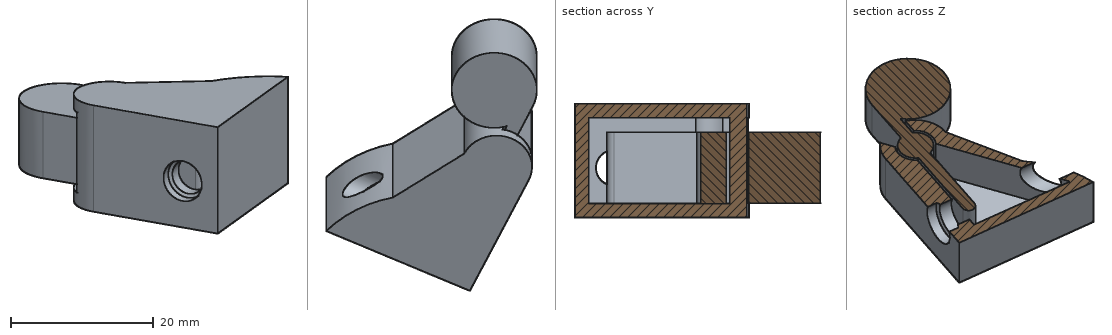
import cadquery as cq
import math

LENGTH = 35.47
DEPTH = 22.35
HEIGHT = 16.0

PIVOT_X = 15.95
NOSE_RADIUS = 5.0
PIVOT_Y = NOSE_RADIUS
SLOPE_ANGLE = math.radians(30)
SLOPE_END_X = 26.53
BACK_TOP_X = 35.35
CREST_MID = (30.4, 19.85)

WALL = 2.0
LEVER_HEIGHT = 10.0
BAR_THICKNESS = 2.0
BAR_END_RADIUS = BAR_THICKNESS / 2
BARREL_RADIUS = 2.55
KNOB_RADIUS = 6.0
BAR_END_X = 29.97
KNOB_Y = PIVOT_Y - BAR_THICKNESS / 2 + KNOB_RADIUS

CLEARANCE = 0.3
SOCKET_RADIUS = BARREL_RADIUS + CLEARANCE
CHANNEL_HALF = BAR_THICKNESS / 2 + CLEARANCE
SWING_ANGLE = math.radians(36.4)
CAVITY_END_X = 33.5
MOUTH_X = PIVOT_X - NOSE_RADIUS - 0.35

HOLE_X = BAR_END_X
HOLE_Z = 7.0
HOLE_DIAMETER = 5.0
COUNTERBORE_DIAMETER = 6.0
COUNTERBORE_DEPTH = 1.5
SHOULDER_DEPTH = 0.3


def make_housing_block():
    """Round-nosed block with a sloping side that rises to a convex crest."""
    nose_top = 2 * NOSE_RADIUS
    slope_end_y = nose_top + (SLOPE_END_X - PIVOT_X) * math.tan(SLOPE_ANGLE)
    return (
        cq.Workplane("XY")
        .moveTo(PIVOT_X, 0)
        .lineTo(LENGTH, 0)
        .lineTo(BACK_TOP_X, DEPTH)
        .threePointArc(CREST_MID, (SLOPE_END_X, slope_end_y))
        .lineTo(PIVOT_X, nose_top)
        .threePointArc((PIVOT_X - NOSE_RADIUS, PIVOT_Y), (PIVOT_X, 0))
        .close()
        .extrude(HEIGHT)
    )


def swing_sector(end_x, side):
    """Space swept by the bar on one side of the pivot, out to end_x.

    One wall is parallel to the bar at rest, the other to the bar swung over.
    side is +1 for the chamber (+X of the pivot) and -1 for the mouth.
    """
    reach = end_x - PIVOT_X
    rest_wall = -side * CHANNEL_HALF
    swung_offset = side * CHANNEL_HALF / math.cos(SWING_ANGLE)
    return (
        cq.Workplane("XY", origin=(PIVOT_X, PIVOT_Y, WALL))
        .moveTo(0, rest_wall)
        .lineTo(reach, rest_wall)
        .lineTo(reach, swung_offset + reach * math.tan(SWING_ANGLE))
        .lineTo(0, swung_offset)
        .close()
        .extrude(HEIGHT - 2 * WALL)
    )


def make_cavity():
    """Round socket with a mouth toward the knob and a chamber for the bar."""
    socket = (
        cq.Workplane("XY", origin=(PIVOT_X, PIVOT_Y, WALL))
        .circle(SOCKET_RADIUS)
        .extrude(HEIGHT - 2 * WALL)
    )
    mouth = swing_sector(MOUTH_X, -1)
    chamber = swing_sector(CAVITY_END_X, 1)
    return socket.union(mouth).union(chamber)


def make_cross_hole():
    """Hole along Y with a counterbore on the flat face, ending in a conical shoulder."""
    start = cq.Vector(HOLE_X, 0, HOLE_Z)
    along_y = cq.Vector(0, 1, 0)
    bore = cq.Solid.makeCylinder(HOLE_DIAMETER / 2, DEPTH, start, along_y)
    counterbore = cq.Solid.makeCylinder(COUNTERBORE_DIAMETER / 2, COUNTERBORE_DEPTH, start, along_y)
    shoulder = cq.Solid.makeCone(
        COUNTERBORE_DIAMETER / 2,
        HOLE_DIAMETER / 2,
        SHOULDER_DEPTH,
        cq.Vector(HOLE_X, COUNTERBORE_DEPTH, HOLE_Z),
        along_y,
    )
    return cq.Workplane(obj=bore).union(cq.Workplane(obj=counterbore)).union(cq.Workplane(obj=shoulder))


def make_lever():
    """Flat bar with a hinge barrel, a rounded inner end and a round knob outside."""
    plane = cq.Workplane("XY", origin=(0, 0, WALL))
    bar = (
        plane
        .moveTo(KNOB_RADIUS, PIVOT_Y - BAR_END_RADIUS)
        .lineTo(BAR_END_X, PIVOT_Y - BAR_END_RADIUS)
        .threePointArc(
            (BAR_END_X + BAR_END_RADIUS, PIVOT_Y),
            (BAR_END_X, PIVOT_Y + BAR_END_RADIUS),
        )
        .lineTo(KNOB_RADIUS, PIVOT_Y + BAR_END_RADIUS)
        .close()
        .extrude(LEVER_HEIGHT)
    )
    barrel = plane.center(PIVOT_X, PIVOT_Y).circle(BARREL_RADIUS).extrude(LEVER_HEIGHT)
    knob = plane.center(KNOB_RADIUS, KNOB_Y).circle(KNOB_RADIUS).extrude(LEVER_HEIGHT)
    return bar.union(barrel).union(knob)


housing = make_housing_block().cut(make_cavity()).cut(make_cross_hole())
lever = make_lever()

result = cq.Compound.makeCompound([housing.val(), lever.val()])